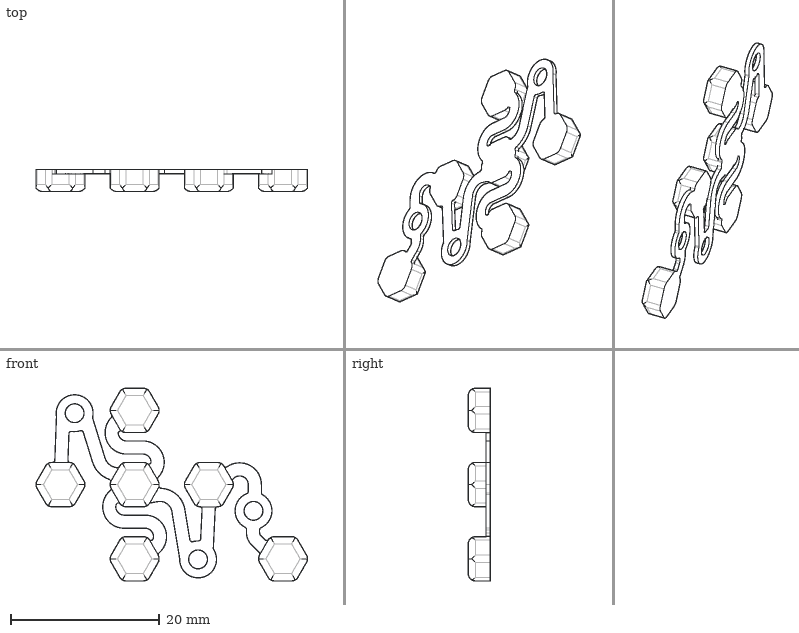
import cadquery as cq
import math


pitch = 10.0
pad_flats = 6.0
pad_corners = pad_flats / math.cos(math.radians(30))
pad_height = 3.0
pad_round = 1.0
pad_centres = [(-pitch, 0), (0, 0), (pitch, 0), (0, pitch), (0, -pitch), (2 * pitch, -pitch)]

strip_thickness = 0.6
strip_width = 1.8
root_radius = 0.3
ring_radius = 2.5
hole_radius = 1.25
left_ring = (-8.09, 9.62)
middle_ring = (8.55, -10.08)
right_ring = (16.02, -3.54)
ring_centres = [left_ring, middle_ring, right_ring]

serpentine_radius = 2.0
serpentine_sweep = 145
upper_reach = 1.1
lower_reach = 1.42

left_outer_leg_offset = -1.55
left_inner_leg_offset = 1.3
left_knee = (-4.84, 3.32)
left_knee_radius = 2.75
left_bend_end = -70

middle_inner_leg_offset = -1.57
middle_outer_leg_offset = 1.1
middle_outer_leg_top = (pitch + 0.13, 0)
middle_knee = (5.89, -3.49)
middle_knee_radius = 2.52
middle_bend_end = 100
middle_tail_length = 2.0

right_arch_radius = 2.05
right_arch_centre = (14.15, 0)
right_arch_end = 140
right_drop = (15.96, -6.5)
right_elbow_radius = 1.4
right_elbow_turn = 45
right_tail_length = 2.0


def polar(centre, radius, angle):
    """Point at a radius and an angle in degrees around a centre."""
    turn = math.radians(angle)
    return (centre[0] + radius * math.cos(turn), centre[1] + radius * math.sin(turn))


def heading(start, end):
    """Direction in degrees from one point to another."""
    return math.degrees(math.atan2(end[1] - start[1], end[0] - start[0]))


def beside(ring, offset):
    """Point level with a ring centre, offset from it along X."""
    return (ring[0] + offset, ring[1])


def prism(centre, height):
    """Sharp hexagonal prism standing on the back plane."""
    return cq.Workplane("XZ").center(*centre).polygon(6, pad_corners).extrude(height)


def footprint(centre, height):
    """Hexagonal prism with rounded upright edges."""
    return prism(centre, height).edges("|Y").fillet(pad_round)


def pad(centre):
    """Pad whose front rim rounds meet in mitres, trimmed by the rounded upright edges."""
    rimmed = prism(centre, pad_height).faces("<Y").edges().fillet(pad_round)
    return footprint(centre, pad_height).intersect(rimmed)


def disc(centre, radius):
    """Round plate of strip thickness."""
    return cq.Workplane("XZ").center(*centre).circle(radius).extrude(strip_thickness)


def bar(start, end):
    """Straight stretch of strip between two points of its middle line."""
    half = strip_width / 2
    side = heading(start, end) + 90
    corners = [
        polar(start, half, side),
        polar(end, half, side),
        polar(end, -half, side),
        polar(start, -half, side),
    ]
    return cq.Workplane("XZ").polyline(corners).close().extrude(strip_thickness)


def bend(centre, radius, first, last):
    """Curved stretch of strip whose middle line runs between two angles."""
    inner = radius - strip_width / 2
    outer = radius + strip_width / 2
    middle = (first + last) / 2
    return (
        cq.Workplane("XZ")
        .moveTo(*polar(centre, inner, first))
        .lineTo(*polar(centre, outer, first))
        .threePointArc(polar(centre, outer, middle), polar(centre, outer, last))
        .lineTo(*polar(centre, inner, last))
        .threePointArc(polar(centre, inner, middle), polar(centre, inner, first))
        .close()
        .extrude(strip_thickness)
    )


def serpentine(level, reach):
    """S-shaped link between two stacked pads, with its straight run at the given level."""
    left_end = (-reach, level)
    right_end = (reach, level)
    left_centre = (-reach, level + serpentine_radius)
    right_centre = (reach, level - serpentine_radius)
    return [
        bend(left_centre, serpentine_radius, 270 - serpentine_sweep, 270),
        bar(left_end, right_end),
        bend(right_centre, serpentine_radius, 90 - serpentine_sweep, 90),
    ]


def left_link():
    """Leg up from the left pad to its ring, then down and round into the centre pad."""
    inner_top = beside(left_ring, left_inner_leg_offset)
    normal = heading(inner_top, left_knee) + 90
    bend_centre = polar(left_knee, left_knee_radius, normal)
    return [
        bar((-pitch, 0), beside(left_ring, left_outer_leg_offset)),
        bar(inner_top, left_knee),
        bend(bend_centre, left_knee_radius, normal - 180, left_bend_end),
    ]


def middle_link():
    """Leg down from the right pad to its ring, then up and round into the centre pad."""
    inner_foot = beside(middle_ring, middle_inner_leg_offset)
    normal = heading(middle_knee, inner_foot) + 90
    bend_centre = polar(middle_knee, -middle_knee_radius, normal)
    tail_start = polar(bend_centre, middle_knee_radius, middle_bend_end)
    tail_end = polar(tail_start, middle_tail_length, middle_bend_end + 90)
    return [
        bar(middle_outer_leg_top, beside(middle_ring, middle_outer_leg_offset)),
        bar(middle_knee, inner_foot),
        bend(bend_centre, middle_knee_radius, normal, middle_bend_end),
        bar(tail_start, tail_end),
    ]


def right_link():
    """Arch from the right pad down through its ring, then an elbow into the lowest right pad."""
    arch_foot = polar(right_arch_centre, right_arch_radius, 0)
    elbow_centre = (right_drop[0] + right_elbow_radius, right_drop[1])
    elbow_end = 180 + right_elbow_turn
    tail_start = polar(elbow_centre, right_elbow_radius, elbow_end)
    tail_end = polar(tail_start, right_tail_length, elbow_end + 90)
    return [
        bend(right_arch_centre, right_arch_radius, 0, right_arch_end),
        bar(arch_foot, (arch_foot[0], right_ring[1])),
        bar((right_drop[0], right_ring[1]), right_drop),
        bend(elbow_centre, right_elbow_radius, 180, elbow_end),
        bar(tail_start, tail_end),
    ]


def joined(pieces):
    """Union of a list of bodies."""
    body = pieces[0]
    for piece in pieces[1:]:
        body = body.union(piece)
    return body


def strip_plate():
    """Rings, links and pad footprints as one plate, with every inside corner rounded."""
    pieces = serpentine(pitch / 2, upper_reach) + serpentine(-pitch / 2, lower_reach)
    pieces += left_link() + middle_link() + right_link()
    pieces += [disc(centre, ring_radius) for centre in ring_centres]
    pieces += [footprint(centre, strip_thickness) for centre in pad_centres]
    outline = joined(pieces).faces(">Y").val().outerWire()
    grown = outline.offset2D(root_radius, "arc")[0]
    rounded = grown.offset2D(-root_radius, "arc")[0]
    return cq.Workplane(cq.Solid.extrudeLinear(rounded, [], cq.Vector(0, -strip_thickness, 0)))


links = strip_plate()
for pad_centre in pad_centres:
    links = links.cut(footprint(pad_centre, strip_thickness))

result = joined([links] + [pad(centre) for centre in pad_centres])
for ring_centre in ring_centres:
    result = result.cut(disc(ring_centre, hole_radius))